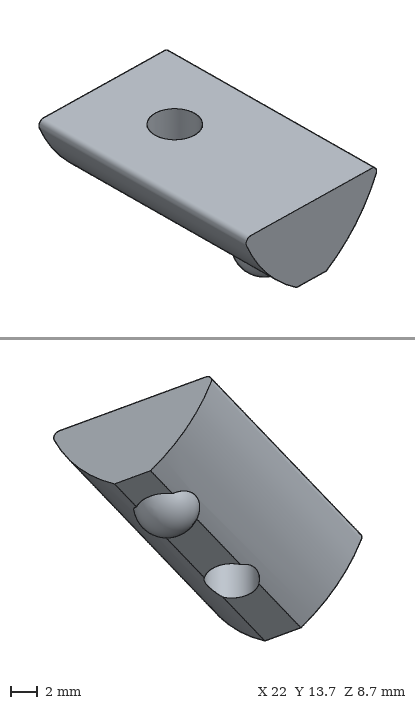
import cadquery as cq
import math

length = 22.0
width = 13.7
total_height = 8.7
body_height = 7.0
bottom_flat_width = 3.12

edge_radius = 0.5
flank_start_angle = math.radians(23)

hole_diameter = 4.14
hole_x = -3.5

ball_diameter = 5.0
ball_x = 6.0


def edge_point(angle):
    """Point on the +Y top edge rounding, at an angle above the horizontal."""
    y = width / 2 - edge_radius + edge_radius * math.cos(angle)
    z = -edge_radius + edge_radius * math.sin(angle)
    return (y, z)


def make_body():
    """Prism with a flat top, rounded edges and convex flanks."""
    bottom_y = bottom_flat_width / 2
    half = (
        cq.Workplane("YZ")
        .moveTo(0, 0)
        .lineTo(*edge_point(math.pi / 2))
        .threePointArc(edge_point(0), edge_point(-flank_start_angle))
        .tangentArcPoint((bottom_y, -body_height), relative=False)
        .lineTo(0, -body_height)
        .close()
        .extrude(length / 2, both=True)
    )
    return half.union(half.mirror("XZ")).clean()


def make_hole():
    """Cutter for the vertical through hole."""
    return (
        cq.Workplane("XY")
        .center(hole_x, 0)
        .circle(hole_diameter / 2)
        .extrude(-body_height)
    )


def make_ball():
    """Ball sunk partly into the bottom of the body."""
    ball_z = -total_height + ball_diameter / 2
    return cq.Workplane("XY").sphere(ball_diameter / 2).translate((ball_x, 0, ball_z))


result = make_body().cut(make_hole()).union(make_ball())